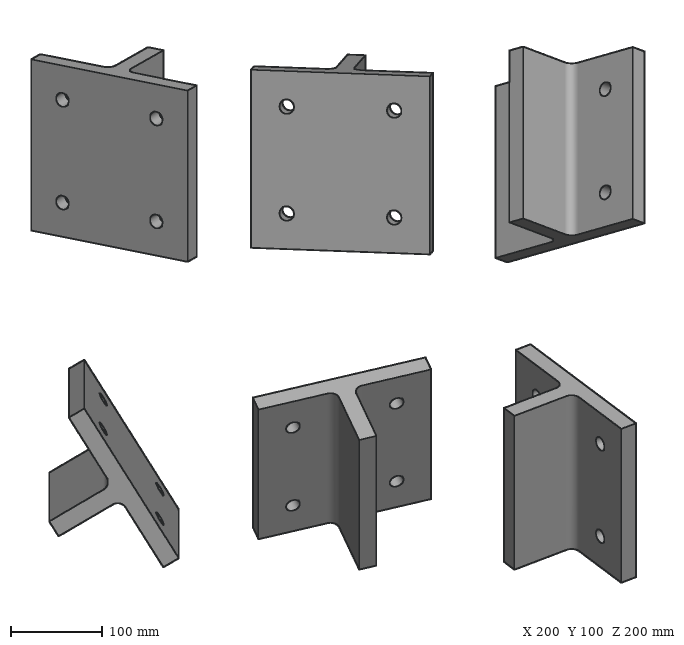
import cadquery as cq

width = 200.0
height = 200.0
depth = 100.0
flange_thickness = 20.0
web_thickness = 20.0
root_radius = 10.0
hole_diameter = 16.0
hole_spacing = 120.0


def make_flange():
    """Flat plate with its front face on Y = 0."""
    return cq.Workplane("XY").box(width, flange_thickness, height, centered=(True, False, True))


def make_web():
    """Upright plate running from the front face to the full depth."""
    return cq.Workplane("XY").box(web_thickness, depth, height, centered=(True, False, True))


def make_hole_cutters():
    """Four cylinders in a square pattern, passing through the flange."""
    return (
        cq.Workplane("XZ")
        .rarray(hole_spacing, hole_spacing, 2, 2)
        .circle(hole_diameter / 2)
        .extrude(-flange_thickness)
    )


tee = make_flange().union(make_web())

root_corners = cq.selectors.BoxSelector(
    (-web_thickness, flange_thickness / 2, -height),
    (web_thickness, flange_thickness * 1.5, height),
)
tee = tee.edges("|Z").edges(root_corners).fillet(root_radius)

result = tee.cut(make_hole_cutters())